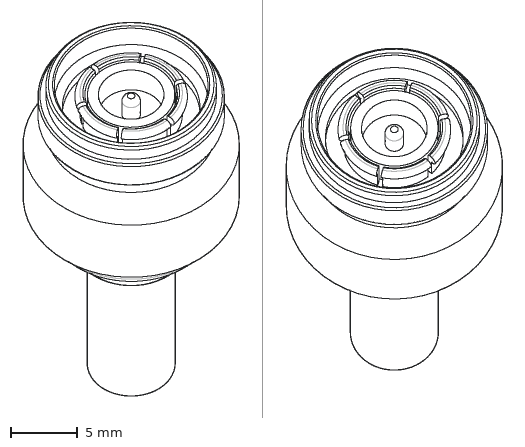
import cadquery as cq

TOTAL_LENGTH = 31.45
BODY_RADIUS = 8.098

CABLE_RADIUS = 3.3
COLLAR_RADIUS = 4.4
COLLAR_BOTTOM = 13.52
COLLAR_CHAMFER = 0.2

STEP_BOTTOM = 16.57
STEP_BOTTOM_RADIUS = 6.5
STEP_EDGE_HEIGHT = 0.57
STEP_EDGE_RADIUS = 6.8
STEP_TOP_RADIUS = 6.92

LOWER_CONE_BOTTOM = 17.77
BODY_BOTTOM = 18.85
BODY_TOP = 24.72
NECK_BOTTOM = 26.48

NECK_RADIUS = 6.4
BAND_RADIUS = 6.98
BAND_BOTTOM = 27.83
BAND_TOP = 30.22
BAND_CHAMFER = 0.15
RIM_CHAMFER = 0.2

CAVITY_FLOOR = 28.1
MOUTH_RADIUS = 5.75
MOUTH_CHAMFER = 0.13
SEAT_CONE_TOP = 29.47
SEAT_RADIUS = 5.15
SEAT_CONE_BOTTOM = SEAT_CONE_TOP - (MOUTH_RADIUS - SEAT_RADIUS)

FINGER_COUNT = 6
FINGER_SLOT_WIDTH = 0.38
FINGER_TOP = 30.5
FINGER_INNER_RADIUS = 3.45
FINGER_NECK_RADIUS = 3.85
FINGER_BULGE_RADIUS = 4.2
FINGER_BULGE_HEIGHT = 0.75
FINGER_INNER_CHAMFER = 0.15

SLEEVE_OUTER_RADIUS = 3.27
SLEEVE_INNER_RADIUS = 2.45
SLEEVE_TOP = 30.32
PIN_RADIUS = 0.7
PIN_TIP_RADIUS = 0.28
PIN_SHOULDER = 29.63
PIN_TOP = 30.15
PIN_NOSE_BULGE = 0.05


def ring(outer_radius, inner_radius, bottom, top):
    """Tube on the Z axis between two heights."""
    return (
        cq.Workplane("XY", origin=(0, 0, bottom))
        .circle(outer_radius)
        .circle(inner_radius)
        .extrude(top - bottom)
    )


def revolve_about_z(profile):
    """Turn a closed (radius, height) profile a full circle about Z."""
    return profile.close().revolve(360, (0, 0, 0), (0, 1, 0))


def make_shell():
    """Solid outer shape from the cable stub up to the mouth rim."""
    profile = (
        cq.Workplane("XZ")
        .moveTo(0, 0)
        .lineTo(CABLE_RADIUS, 0)
        .lineTo(CABLE_RADIUS, COLLAR_BOTTOM)
        .lineTo(COLLAR_RADIUS - COLLAR_CHAMFER, COLLAR_BOTTOM)
        .lineTo(COLLAR_RADIUS, COLLAR_BOTTOM + COLLAR_CHAMFER)
        .lineTo(COLLAR_RADIUS, STEP_BOTTOM)
        .lineTo(STEP_BOTTOM_RADIUS, STEP_BOTTOM)
        .lineTo(STEP_EDGE_RADIUS, STEP_BOTTOM + STEP_EDGE_HEIGHT)
        .lineTo(STEP_TOP_RADIUS, LOWER_CONE_BOTTOM)
        .lineTo(BAND_RADIUS, LOWER_CONE_BOTTOM)
        .lineTo(BODY_RADIUS, BODY_BOTTOM)
        .lineTo(BODY_RADIUS, BODY_TOP)
        .lineTo(NECK_RADIUS, NECK_BOTTOM)
        .lineTo(NECK_RADIUS, BAND_BOTTOM)
        .lineTo(BAND_RADIUS - BAND_CHAMFER, BAND_BOTTOM)
        .lineTo(BAND_RADIUS, BAND_BOTTOM + BAND_CHAMFER)
        .lineTo(BAND_RADIUS, BAND_TOP - BAND_CHAMFER)
        .lineTo(BAND_RADIUS - BAND_CHAMFER, BAND_TOP)
        .lineTo(NECK_RADIUS, BAND_TOP)
        .lineTo(NECK_RADIUS, TOTAL_LENGTH - RIM_CHAMFER)
        .lineTo(NECK_RADIUS - RIM_CHAMFER, TOTAL_LENGTH)
        .lineTo(0, TOTAL_LENGTH)
    )
    return revolve_about_z(profile)


def make_cavity():
    """Open socket: chamfered mouth, conical seat and flat floor."""
    profile = (
        cq.Workplane("XZ")
        .moveTo(0, CAVITY_FLOOR)
        .lineTo(SEAT_RADIUS, CAVITY_FLOOR)
        .lineTo(SEAT_RADIUS, SEAT_CONE_BOTTOM)
        .lineTo(MOUTH_RADIUS, SEAT_CONE_TOP)
        .lineTo(MOUTH_RADIUS, TOTAL_LENGTH - MOUTH_CHAMFER)
        .lineTo(MOUTH_RADIUS + MOUTH_CHAMFER, TOTAL_LENGTH)
        .lineTo(0, TOTAL_LENGTH)
    )
    return revolve_about_z(profile)


def make_fingers():
    """Ring with a rounded outer lip, cut into equal fingers by radial slots."""
    profile = (
        cq.Workplane("XZ")
        .moveTo(FINGER_INNER_RADIUS, CAVITY_FLOOR)
        .lineTo(FINGER_NECK_RADIUS, CAVITY_FLOOR)
        .lineTo(FINGER_NECK_RADIUS, FINGER_TOP - FINGER_BULGE_HEIGHT)
        .threePointArc(
            (FINGER_BULGE_RADIUS, FINGER_TOP - FINGER_BULGE_HEIGHT / 2),
            (FINGER_NECK_RADIUS, FINGER_TOP),
        )
        .lineTo(FINGER_INNER_RADIUS + FINGER_INNER_CHAMFER, FINGER_TOP)
        .lineTo(FINGER_INNER_RADIUS, FINGER_TOP - FINGER_INNER_CHAMFER)
    )
    fingers = revolve_about_z(profile)
    slot = cq.Workplane("XY", origin=(0, 0, CAVITY_FLOOR)).box(
        SEAT_RADIUS, FINGER_SLOT_WIDTH, FINGER_TOP - CAVITY_FLOOR, centered=(False, True, False)
    )
    for index in range(FINGER_COUNT):
        fingers = fingers.cut(slot.rotate((0, 0, 0), (0, 0, 1), index * 360 / FINGER_COUNT))
    return fingers


def make_pin():
    """Centre contact with a rounded nose and a small flat tip."""
    nose_middle = (
        (PIN_RADIUS + PIN_TIP_RADIUS) / 2 + PIN_NOSE_BULGE,
        (PIN_SHOULDER + PIN_TOP) / 2 + PIN_NOSE_BULGE,
    )
    profile = (
        cq.Workplane("XZ")
        .moveTo(0, CAVITY_FLOOR)
        .lineTo(PIN_RADIUS, CAVITY_FLOOR)
        .lineTo(PIN_RADIUS, PIN_SHOULDER)
        .threePointArc(nose_middle, (PIN_TIP_RADIUS, PIN_TOP))
        .lineTo(0, PIN_TOP)
    )
    return revolve_about_z(profile)


sleeve = ring(SLEEVE_OUTER_RADIUS, SLEEVE_INNER_RADIUS, CAVITY_FLOOR, SLEEVE_TOP)

result = make_shell().cut(make_cavity())
for insert in (make_fingers(), sleeve, make_pin()):
    result = result.union(insert)